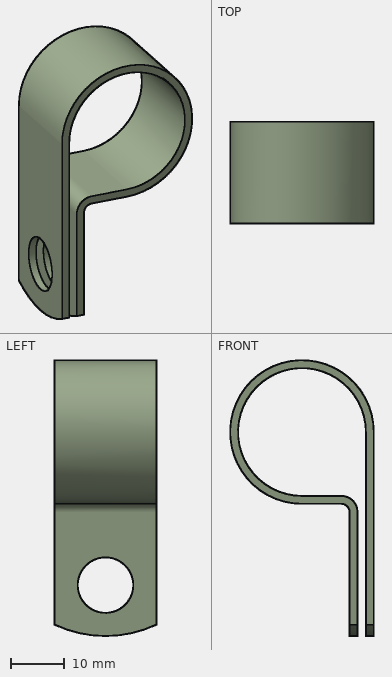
import cadquery as cq
import math

strip_width = 19.05
thickness = 1.52
tube_diameter = 23.81
leg_length = 38.1
leg_gap = 1.52
bend_inner_radius = 1.52
hole_diameter = 10.32
hole_to_tip = 9.525
tip_radius = 22.225

inner_radius = tube_diameter / 2
outer_radius = inner_radius + thickness
bend_outer_radius = bend_inner_radius + thickness
half_width = strip_width / 2
tip_z = -leg_length
short_leg_right = inner_radius - leg_gap
short_leg_left = short_leg_right - thickness
bend_x = short_leg_right - bend_outer_radius
bend_z = -inner_radius - bend_outer_radius
diagonal = math.sqrt(0.5)


def make_bent_strip():
    """Strip profile in XZ, extruded evenly to both sides of Y = 0."""
    profile = (
        cq.Workplane("XZ")
        .moveTo(outer_radius, tip_z)
        .lineTo(outer_radius, 0)
        .threePointArc((-outer_radius * diagonal, outer_radius * diagonal), (0, -outer_radius))
        .lineTo(bend_x, -outer_radius)
        .threePointArc(
            (bend_x + bend_inner_radius * diagonal, bend_z + bend_inner_radius * diagonal),
            (short_leg_left, bend_z),
        )
        .lineTo(short_leg_left, tip_z)
        .lineTo(short_leg_right, tip_z)
        .lineTo(short_leg_right, bend_z)
        .threePointArc(
            (bend_x + bend_outer_radius * diagonal, bend_z + bend_outer_radius * diagonal),
            (bend_x, -inner_radius),
        )
        .lineTo(0, -inner_radius)
        .threePointArc((-inner_radius * diagonal, inner_radius * diagonal), (inner_radius, 0))
        .lineTo(inner_radius, tip_z)
        .close()
    )
    return profile.extrude(half_width, both=True)


def make_tip_envelope():
    """Side outline of the clip with the rounded leg tips, as a block along X."""
    corner_z = tip_z + tip_radius - math.sqrt(tip_radius**2 - half_width**2)
    return (
        cq.Workplane("YZ")
        .moveTo(-half_width, outer_radius)
        .lineTo(-half_width, corner_z)
        .threePointArc((0, tip_z), (half_width, corner_z))
        .lineTo(half_width, outer_radius)
        .close()
        .extrude(outer_radius, both=True)
    )


def make_bolt_hole():
    """Cylinder along X that passes through both legs."""
    return (
        cq.Workplane("YZ")
        .center(0, tip_z + hole_to_tip)
        .circle(hole_diameter / 2)
        .extrude(outer_radius, both=True)
    )


result = make_bent_strip().intersect(make_tip_envelope()).cut(make_bolt_hole())